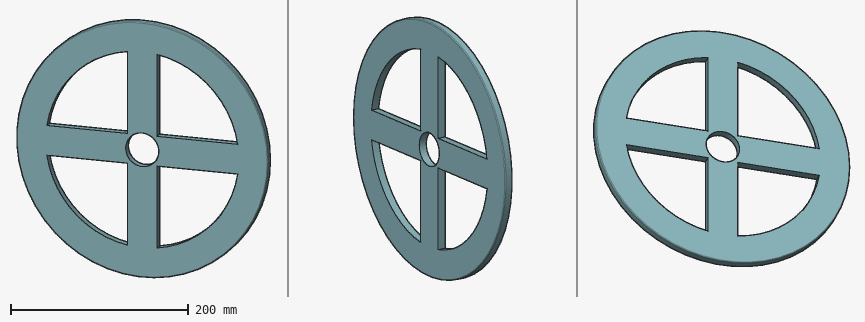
import cadquery as cq

wheel_diameter = 300.0
thickness = 10.0
rim_inner_diameter = 230.0
spoke_width = 35.0
bore_diameter = 39.3
edge_radius = 1.0


def centered_disc(diameter):
    """Disc about the Y axis, centred on the XZ plane."""
    back_plane = cq.Workplane("XZ").workplane(offset=-thickness / 2)
    return back_plane.circle(diameter / 2).extrude(thickness)


disc = centered_disc(wheel_diameter).faces("<Y or >Y").edges().fillet(edge_radius)

spoke_along_x = cq.Workplane("XY").box(wheel_diameter, thickness, spoke_width)
spoke_along_z = cq.Workplane("XY").box(spoke_width, thickness, wheel_diameter)
windows = centered_disc(rim_inner_diameter).cut(spoke_along_x).cut(spoke_along_z)

bore = centered_disc(bore_diameter)

result = disc.cut(windows).cut(bore)